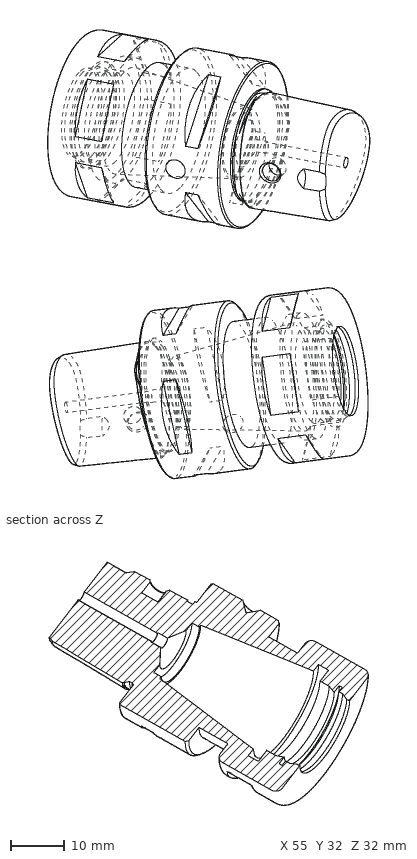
import cadquery as cq
import math


NUT_REAR = 14.0
FLANGE_FRONT = 20.45
FLANGE_REAR = 36.0
SEAT_REAR = 36.4
SHANK_START = 37.75
SHANK_END = 55.0

BODY_RADIUS = 32.0 / 2
NUT_FILLET = 1.5
NECK_RADIUS = 24.0 / 2
FLANGE_FRONT_CHAMFER = 0.5
FLANGE_REAR_CHAMFER = 0.35

FLAT_CUTTER_OVERLAP = 0.55
NUT_FLAT_COUNT = 6
NUT_FLAT_START = 6.15
NUT_FLAT_END = 11.6
NUT_FLAT_DISTANCE = 15.0
NUT_FLAT_WALL_ANGLE = 20
FLANGE_FLAT_COUNT = 4
FLANGE_FLAT_START = 28.75
FLANGE_FLAT_END = 31.3
FLANGE_FLAT_DISTANCE = 14.2
FLANGE_FLAT_WALL_ANGLE = 30
FLANGE_FLAT_FIRST_ANGLE = 45

SHANK_RADIUS = 11.05
LOBE = 0.7
OUTLINE_POINTS = 48
SHANK_TAPER = 1 / 20
SHANK_CHAMFER_LENGTH = 1.05
SHANK_CHAMFER_DEPTH = 0.45
SEAT_RADIUS = 10.85
UNDERCUT_INSET = 0.3
UNDERCUT_RADIUS = 10.8
UNDERCUT_WALL_START = 36.95

MOUTH_RADIUS = 17.0 / 2
MOUTH_LENGTH = 0.65
LIP_RADIUS = 18.2 / 2
LIP_CONE_END = 2.0
LIP_END = 2.85
GROOVE_RADIUS = 20.5 / 2
GROOVE_END = 3.45
RING_CONE_END = 5.0
RING_END = 7.1
CAVITY_RADIUS = NECK_RADIUS

SEAT_MOUTH = 9.3
SEAT_HALF_ANGLE = 8
SEAT_MOUTH_RADIUS = GROOVE_RADIUS
SEAT_END_RADIUS = 7.0
SEAT_LENGTH = (SEAT_MOUTH_RADIUS - SEAT_END_RADIUS) / math.tan(math.radians(SEAT_HALF_ANGLE))
SEAT_END = SEAT_MOUTH + SEAT_LENGTH
RELIEF_RADIUS = 13.0 / 2
RELIEF_LENGTH = 1.65
DRILL_CONE_RADIUS = 4.5
DRILL_HALF_ANGLE = 59
PILOT_RADIUS = 2.3 / 2
PILOT_LENGTH = 2.2
COOLANT_RADIUS = 2.0 / 2

DIMPLE_X = 27.0
DIMPLE_RADIUS = 4.0 / 2
DIMPLE_DEPTH = 2.0
HOLE_X = 44.0
HOLE_RADIUS = 3.6 / 2
HOLE_DEPTH = 3.3
HOLE_RIM_RADIUS = 2.2
NOTCH_RADIUS = 2.75
NOTCH_START = 50.7
NOTCH_AXIS_OFFSET = 11.7
NOTCH_END_HALF_ANGLE = 43

X_AXIS = cq.Vector(1, 0, 0)
OUTWARD = cq.Vector(0, -1, 0)
INWARD = cq.Vector(0, 1, 0)


def revolve_about_x(points):
    """Revolve a closed outline of (x, radius) points about the X axis."""
    return cq.Workplane("XY").polyline(points).close().revolve(360, (0, 0, 0), (1, 0, 0))


def cylinder_along_x(start, end, radius):
    return cq.Workplane("YZ", origin=(start, 0, 0)).circle(radius).extrude(end - start)


def clamping_nut():
    nut = cylinder_along_x(0, NUT_REAR, BODY_RADIUS).edges().fillet(NUT_FILLET)
    return nut.cut(
        wrench_flats(NUT_FLAT_COUNT, 0, NUT_FLAT_START, NUT_FLAT_END, NUT_FLAT_DISTANCE, NUT_FLAT_WALL_ANGLE)
    )


def flange():
    body = cylinder_along_x(FLANGE_FRONT, FLANGE_REAR, BODY_RADIUS)
    body = body.faces("<X").chamfer(FLANGE_FRONT_CHAMFER)
    body = body.faces(">X").chamfer(FLANGE_REAR_CHAMFER)
    return body.cut(
        wrench_flats(
            FLANGE_FLAT_COUNT,
            FLANGE_FLAT_FIRST_ANGLE,
            FLANGE_FLAT_START,
            FLANGE_FLAT_END,
            FLANGE_FLAT_DISTANCE,
            FLANGE_FLAT_WALL_ANGLE,
        )
    )


def wrench_flats(count, first_angle, start, end, distance, wall_angle):
    """Cutters for flats around X; the first faces +Z before turning, and the end walls lean outward."""
    height = BODY_RADIUS - distance + FLAT_CUTTER_OVERLAP
    spread = height * math.tan(math.radians(wall_angle))
    cutter = (
        cq.Workplane("XZ")
        .polyline(
            [
                (start, distance),
                (end, distance),
                (end + spread, distance + height),
                (start - spread, distance + height),
            ]
        )
        .close()
        .extrude(BODY_RADIUS, both=True)
    )
    cutters = cq.Workplane()
    for index in range(count):
        angle = first_angle + index * 360 / count
        cutters = cutters.add(cutter.rotate((0, 0, 0), (1, 0, 0), angle))
    return cutters.combine()


def lobed_outline(radius):
    """Points of a constant-width curve with one lobe toward +Y, starting at -Y."""
    points = []
    for index in range(OUTLINE_POINTS):
        angle = math.pi + index * 2 * math.pi / OUTLINE_POINTS
        reach = radius + LOBE * math.cos(3 * angle)
        slope = -3 * LOBE * math.sin(3 * angle)
        y = reach * math.cos(angle) - slope * math.sin(angle)
        z = reach * math.sin(angle) + slope * math.cos(angle)
        points.append((y, z))
    return points


def lobed_body(start, end, start_radius, end_radius):
    return (
        cq.Workplane("YZ", origin=(start, 0, 0))
        .spline(lobed_outline(start_radius), periodic=True)
        .close()
        .workplane(offset=end - start)
        .spline(lobed_outline(end_radius), periodic=True)
        .close()
        .loft(ruled=True, combine=True)
    )


def shank():
    chamfer_start = SHANK_END - SHANK_CHAMFER_LENGTH
    chamfer_radius = SHANK_RADIUS - SHANK_TAPER / 2 * (chamfer_start - SHANK_START)
    tip_radius = chamfer_radius - SHANK_CHAMFER_DEPTH
    neck_radius = SHANK_RADIUS - UNDERCUT_INSET

    seat = cylinder_along_x(FLANGE_REAR, SEAT_REAR, SEAT_RADIUS)
    neck = lobed_body(SEAT_REAR, SHANK_START, neck_radius, neck_radius)
    taper = lobed_body(SHANK_START, chamfer_start, SHANK_RADIUS, chamfer_radius)
    chamfer = lobed_body(chamfer_start, SHANK_END, chamfer_radius, tip_radius)

    outside = SHANK_RADIUS + 2 * LOBE
    wall_end = UNDERCUT_WALL_START + outside - UNDERCUT_RADIUS
    undercut = revolve_about_x(
        [
            (SEAT_REAR, UNDERCUT_RADIUS),
            (UNDERCUT_WALL_START, UNDERCUT_RADIUS),
            (wall_end, outside),
            (SEAT_REAR, outside),
        ]
    )
    return seat.union(neck).union(taper).union(chamfer).cut(undercut)


def through_bore():
    relief_end = SEAT_END + RELIEF_LENGTH
    cone_length = (DRILL_CONE_RADIUS - PILOT_RADIUS) / math.tan(math.radians(DRILL_HALF_ANGLE))
    cone_end = relief_end + cone_length
    pilot_end = cone_end + PILOT_LENGTH
    return revolve_about_x(
        [
            (0, 0),
            (0, MOUTH_RADIUS),
            (MOUTH_LENGTH, MOUTH_RADIUS),
            (LIP_CONE_END, LIP_RADIUS),
            (LIP_END, LIP_RADIUS),
            (LIP_END, GROOVE_RADIUS),
            (GROOVE_END, GROOVE_RADIUS),
            (GROOVE_END, MOUTH_RADIUS),
            (RING_CONE_END, LIP_RADIUS),
            (RING_END, LIP_RADIUS),
            (RING_END, CAVITY_RADIUS),
            (SEAT_MOUTH, CAVITY_RADIUS),
            (SEAT_MOUTH, SEAT_MOUTH_RADIUS),
            (SEAT_END, SEAT_END_RADIUS),
            (SEAT_END, RELIEF_RADIUS),
            (relief_end, RELIEF_RADIUS),
            (relief_end, DRILL_CONE_RADIUS),
            (cone_end, PILOT_RADIUS),
            (pilot_end, PILOT_RADIUS),
            (pilot_end, COOLANT_RADIUS),
            (SHANK_END, COOLANT_RADIUS),
            (SHANK_END, 0),
        ]
    )


def dimple():
    """Conical dimple in the flange."""
    rim = cq.Vector(DIMPLE_X, -BODY_RADIUS, 0)
    return cq.Solid.makeCone(DIMPLE_RADIUS, 0, DIMPLE_DEPTH, rim, INWARD)


def shank_hole():
    """Flat-bottomed hole in the shank with a chamfered rim."""
    surface = SHANK_RADIUS - SHANK_TAPER / 2 * (HOLE_X - SHANK_START) - LOBE
    floor = cq.Vector(HOLE_X, HOLE_DEPTH - surface, 0)
    rim_depth = HOLE_RIM_RADIUS - HOLE_RADIUS
    rim_height = 2 * rim_depth
    rim_base = cq.Vector(HOLE_X, rim_depth - surface, 0)
    hole = cq.Solid.makeCylinder(HOLE_RADIUS, HOLE_DEPTH, floor, OUTWARD)
    rim = cq.Solid.makeCone(HOLE_RADIUS, HOLE_RADIUS + rim_height, rim_height, rim_base, OUTWARD)
    return hole.fuse(rim)


def shank_notch():
    """Shallow round-bottomed notch along X, open at the shank end, with a conical front."""
    start = cq.Vector(NOTCH_START, -NOTCH_AXIS_OFFSET, 0)
    point_length = NOTCH_RADIUS / math.tan(math.radians(NOTCH_END_HALF_ANGLE))
    groove = cq.Solid.makeCylinder(NOTCH_RADIUS, SHANK_END - NOTCH_START, start, X_AXIS)
    point = cq.Solid.makeCone(NOTCH_RADIUS, 0, point_length, start, -X_AXIS)
    return groove.fuse(point)


neck = cylinder_along_x(SEAT_MOUTH, FLANGE_FRONT, NECK_RADIUS)
result = clamping_nut().union(neck).union(flange()).union(shank())
result = result.cut(through_bore())
result = result.cut(dimple()).cut(shank_hole()).cut(shank_notch())